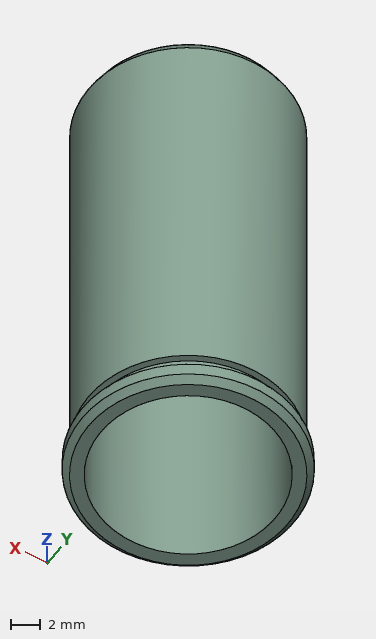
import cadquery as cq

length = 36.0
flange_diameter = 17.0
body_diameter = 16.0
groove_diameter = 15.0
bore_diameter = 14.0
flange_height = 1.5
groove_height = 1.5
lead_in_height = 1.0
lead_in_depth = 0.58
flange_chamfer_height = 0.5
flange_chamfer_depth = 0.5

flange_radius = flange_diameter / 2
body_radius = body_diameter / 2
groove_radius = groove_diameter / 2
bore_radius = bore_diameter / 2
groove_top = flange_height + groove_height

wall_section = (
    cq.Workplane("XZ")
    .moveTo(bore_radius, 0)
    .lineTo(flange_radius - flange_chamfer_depth, 0)
    .lineTo(flange_radius, flange_chamfer_height)
    .lineTo(flange_radius, flange_height)
    .lineTo(groove_radius, flange_height)
    .lineTo(groove_radius, groove_top)
    .lineTo(body_radius, groove_top)
    .lineTo(body_radius, length - lead_in_height)
    .lineTo(body_radius - lead_in_depth, length)
    .lineTo(bore_radius, length)
    .close()
)

result = wall_section.revolve(360, (0, 0, 0), (0, 1, 0))